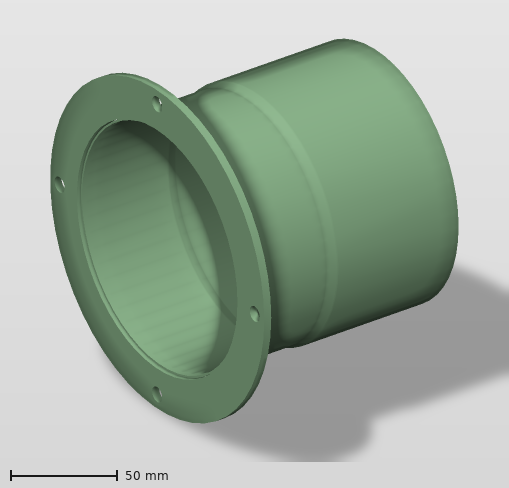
import cadquery as cq
import math

flange_diameter = 170.0
flange_thickness = 4.0
flange_bore = 127.5
bolt_hole_diameter = 8.0
bolt_circle_diameter = 155.0
bolt_hole_count = 4

neck_diameter = 127.0
sleeve_diameter = 130.4
wall = 1.0
neck_start = 2.0
neck_end = 51.5
cone_angle = math.radians(18)
tube_end = 127.0
bend_radius = 1.7
outer_bend_radius = bend_radius + wall


def make_flange():
    """Flat ring with equally spaced bolt holes, extruded from Y = 0 along +Y."""
    return (
        cq.Workplane("XZ")
        .circle(flange_diameter / 2)
        .circle(flange_bore / 2)
        .polarArray(bolt_circle_diameter / 2, 0, 360, bolt_hole_count)
        .circle(bolt_hole_diameter / 2)
        .extrude(-flange_thickness)
    )


def arc_point(center, radius, angle):
    """Point on a circle in the XY plane."""
    return (center[0] + radius * math.cos(angle), center[1] + radius * math.sin(angle))


def make_tube():
    """Thin-walled stepped tube with rounded bends, revolved about the Y axis."""
    neck_radius = neck_diameter / 2
    sleeve_radius = sleeve_diameter / 2

    radii_sum = bend_radius + outer_bend_radius
    cone_rise = sleeve_radius - neck_radius - radii_sum * (1 - math.cos(cone_angle))
    step_length = radii_sum * math.sin(cone_angle) + cone_rise / math.tan(cone_angle)

    neck_center = (neck_radius + bend_radius, neck_end)
    sleeve_center = (sleeve_radius - outer_bend_radius, neck_end + step_length)

    def neck_arc(radius):
        turns = (0, cone_angle / 2, cone_angle)
        return [arc_point(neck_center, radius, math.pi - turn) for turn in turns]

    def sleeve_arc(radius):
        turns = (cone_angle, cone_angle / 2, 0)
        return [arc_point(sleeve_center, radius, -turn) for turn in turns]

    outer_neck = neck_arc(bend_radius)
    outer_sleeve = sleeve_arc(outer_bend_radius)
    inner_sleeve = sleeve_arc(bend_radius)[::-1]
    inner_neck = neck_arc(outer_bend_radius)[::-1]
    return (
        cq.Workplane("XY")
        .moveTo(neck_radius, neck_start)
        .lineTo(*outer_neck[0])
        .threePointArc(*outer_neck[1:])
        .lineTo(*outer_sleeve[0])
        .threePointArc(*outer_sleeve[1:])
        .lineTo(sleeve_radius, tube_end)
        .lineTo(sleeve_radius - wall, tube_end)
        .lineTo(*inner_sleeve[0])
        .threePointArc(*inner_sleeve[1:])
        .lineTo(*inner_neck[0])
        .threePointArc(*inner_neck[1:])
        .lineTo(neck_radius - wall, neck_start)
        .close()
        .revolve(360, (0, 0, 0), (0, 1, 0))
    )


flange = make_flange()
tube = make_tube()

result = cq.Compound.makeCompound([flange.val(), tube.val()])